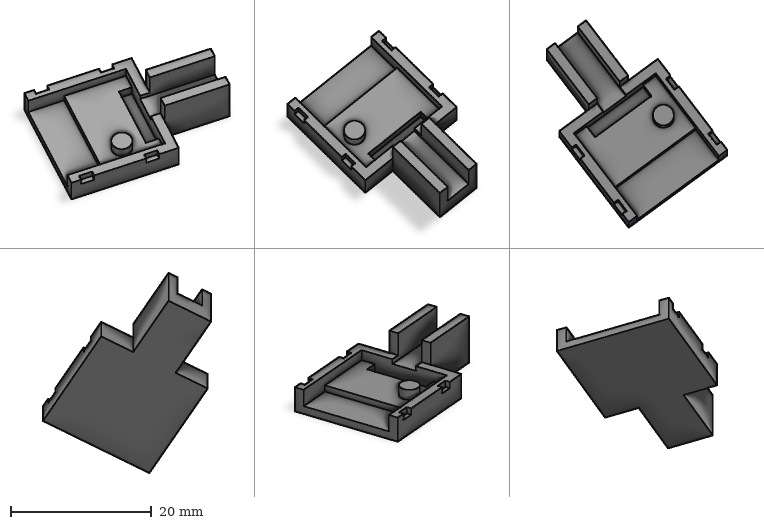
import cadquery as cq

tray_width = 17.5
tray_length = 16.5
tray_height = 3.85
wall = 1.5
floor_thickness = 1.25

deck_top = 2.25
deck_front_y = 5.5

recess_width = 10.0
recess_length = 2.0
recess_floor = 0.75

pin_diameter = 3.0
pin_x = 4.5
pin_y = 9.5

tail_width = 7.0
tail_length = 10.0
tail_height = 7.35
channel_width = 4.0
channel_floor = 3.1

notch_depth = wall / 2
notch_length = 2.0
notch_height = 1.0
notch_centers_y = (2.5, 12.5)

inner_width = tray_width - 2 * wall
inner_back_y = tray_length - wall
tail_end_y = tray_length + tail_length


def block(width, y_start, y_end, z_bottom, z_top, center_x=0):
    """Box centred on center_x in X, spanning the given Y and Z ranges."""
    return (
        cq.Workplane("XY")
        .box(width, y_end - y_start, z_top - z_bottom, centered=(True, False, False))
        .translate((center_x, y_start, z_bottom))
    )


def make_tray():
    """Floor with side and rear walls, and the deck and its recess inside."""
    body = block(tray_width, 0, tray_length, 0, tray_height)
    cavity = block(inner_width, 0, inner_back_y, floor_thickness, tray_height)
    deck = block(inner_width, deck_front_y, inner_back_y, floor_thickness, deck_top)
    recess = block(recess_width, inner_back_y - recess_length, inner_back_y, recess_floor, deck_top)
    return body.cut(cavity).union(deck).cut(recess)


def make_pin():
    return (
        cq.Workplane("XY", origin=(pin_x, pin_y, deck_top))
        .circle(pin_diameter / 2)
        .extrude(tray_height - deck_top)
    )


def make_tail():
    return block(tail_width, tray_length, tail_end_y, 0, tail_height)


def make_channel():
    """Cutter running through the tail and the rear wall."""
    return block(channel_width, inner_back_y, tail_end_y, channel_floor, tail_height)


def cut_notches(body):
    notch_x = (tray_width - notch_depth) / 2
    for side in (-1, 1):
        for center_y in notch_centers_y:
            notch = block(
                notch_depth,
                center_y - notch_length / 2,
                center_y + notch_length / 2,
                tray_height - notch_height,
                tray_height,
                side * notch_x,
            )
            body = body.cut(notch)
    return body


result = make_tray().union(make_tail()).cut(make_channel()).union(make_pin())
result = cut_notches(result)